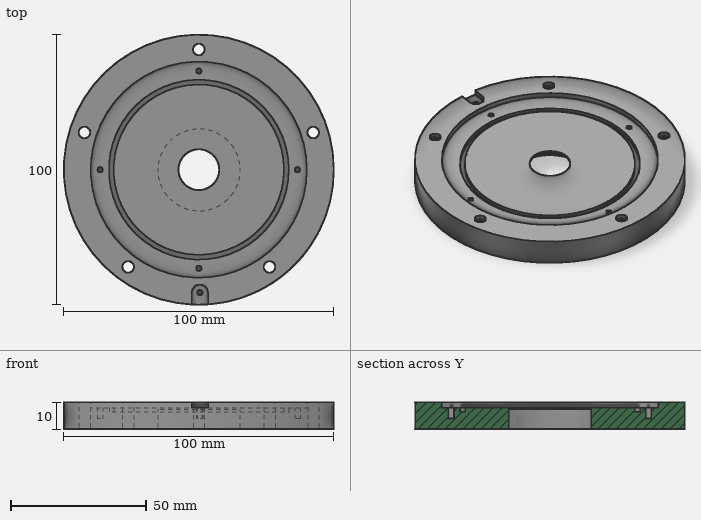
import cadquery as cq

flange_diameter = 100.0
flange_thickness = 10.0

recess_diameter = 80.0
recess_depth = 2.0
groove_outer_diameter = 66.6
groove_inner_diameter = 63.0
groove_depth = 1.5

opening_diameter = 15.0
lower_bore_diameter = 30.4
lip_thickness = 0.6

rim_hole_count = 5
rim_hole_diameter = 4.2
rim_hole_circle_radius = 44.5

small_hole_diameter = 2.0
small_hole_depth = 4.0
floor_hole_count = 4
floor_hole_circle_radius = 36.5

notch_width = 6.0
notch_depth = 2.0
notch_center_x = 0.4
notch_center_y = -45.5

recess_floor_z = flange_thickness - recess_depth
notch_floor_z = flange_thickness - notch_depth


def cylinder(diameter, bottom_z, height):
    """Vertical cylinder on the flange axis."""
    return cq.Workplane("XY").workplane(offset=bottom_z).circle(diameter / 2).extrude(height)


def hole_circle(count, circle_radius, diameter, start_angle, bottom_z, depth):
    """Equally spaced hole cutters around the flange axis."""
    return (
        cq.Workplane("XY")
        .workplane(offset=bottom_z)
        .polarArray(circle_radius, start_angle, 360, count)
        .circle(diameter / 2)
        .extrude(depth)
    )


def ring_groove():
    return (
        cq.Workplane("XY")
        .workplane(offset=recess_floor_z - groove_depth)
        .circle(groove_outer_diameter / 2)
        .circle(groove_inner_diameter / 2)
        .extrude(groove_depth)
    )


def edge_notch():
    """Notch cutter: straight sides running past the edge and a round inner end."""
    half_width = notch_width / 2
    outer_y = -flange_diameter / 2 - half_width
    return (
        cq.Workplane("XY")
        .workplane(offset=notch_floor_z)
        .moveTo(notch_center_x - half_width, outer_y)
        .lineTo(notch_center_x + half_width, outer_y)
        .lineTo(notch_center_x + half_width, notch_center_y)
        .threePointArc(
            (notch_center_x, notch_center_y + half_width),
            (notch_center_x - half_width, notch_center_y),
        )
        .close()
        .extrude(notch_depth)
    )


def notch_hole():
    return (
        cq.Workplane("XY")
        .workplane(offset=notch_floor_z - small_hole_depth)
        .center(notch_center_x, notch_center_y)
        .circle(small_hole_diameter / 2)
        .extrude(small_hole_depth)
    )


rim_holes = hole_circle(
    rim_hole_count, rim_hole_circle_radius, rim_hole_diameter, 90, 0, flange_thickness
)
floor_holes = hole_circle(
    floor_hole_count,
    floor_hole_circle_radius,
    small_hole_diameter,
    0,
    recess_floor_z - small_hole_depth,
    small_hole_depth,
)

result = (
    cylinder(flange_diameter, 0, flange_thickness)
    .cut(cylinder(recess_diameter, recess_floor_z, recess_depth))
    .cut(ring_groove())
    .cut(cylinder(opening_diameter, 0, flange_thickness))
    .cut(cylinder(lower_bore_diameter, 0, recess_floor_z - lip_thickness))
    .cut(rim_holes)
    .cut(floor_holes)
    .cut(edge_notch())
    .cut(notch_hole())
)